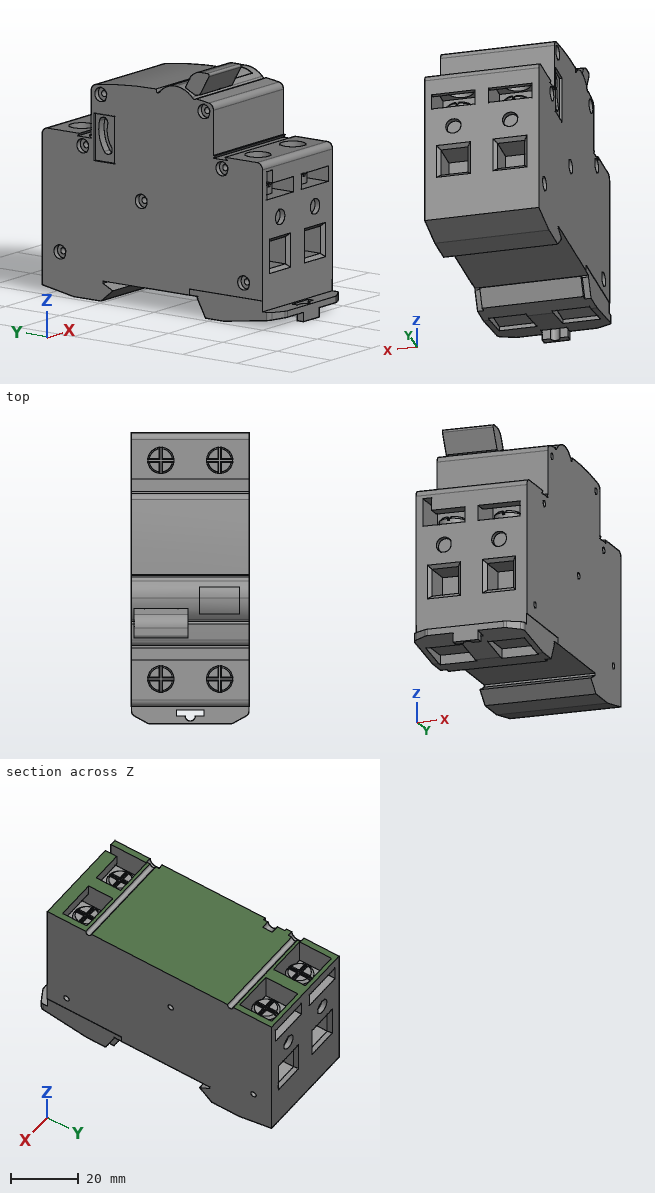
import cadquery as cq
import math


overall_length = 86.2
width = 35.0
body_depth = 81.1
mid_y = body_depth / 2
shoulder_z = 49.9
tower_half_depth = 22.5
tower_front_y = mid_y - tower_half_depth
tower_rear_y = mid_y + tower_half_depth
corner_radius = 2.0

crown_z = 67.2
crown_radius = 131

drum_y = 32.15
drum_top_z = 69.05
drum_front_radius = 9.0
drum_rear_radius = 7.8
drum_front_y = 25.9
drum_rear_y = 37.15
drum_front_notch = (25.2, 65.85)
drum_rear_notch = [(38.45, 66.1), (38.9, 66.1)]
drum_front_lip_y = 24.5
drum_rear_lip_y = 39.1

groove_width = 5.0
groove_depth = 0.9
groove_undercut = 0.7

rail_z = 6.2
rear_hook = [(58.7, rail_z), (58.7, 5.5), (55.1, 3.7), (59.5, 0), (69.5, 0), (body_depth, 2.1)]

clip_top_z = 8.1
clip_rear_y = 26.9
clip_side_gap = 0.1
clip_width = width - 2 * clip_side_gap
clip_nose = [(24.05, rail_z), (24.05, 5.6), (21.0, 0), (14.2, 0)]
tab_top_z = 4.8
tab_bottom_z = 2.85
tab_length = overall_length - body_depth
lip_width = 7.9
lip_thickness = 2.4
lip_rear_y = lip_thickness - tab_length
tab_side_length = 2.3
tab_tip_half_width = 12.4
tab_corner_radius = 1.7
tooth_profile = [(25.6, 5.35), (17.2, 5.35), (17.2, 0), (22.75, 0)]
pocket_width = 11.55
pocket_offset = 9.7
pocket_front_y = 3.2
pocket_rear_y = 15.5
pocket_height = 2.9

tool_slot_width = 8.0
tool_slot_rear_y = -1.0
tool_slot_front_y = -2.8
tool_slot_nose_radius = 1.5

rivet_points = [
    (mid_y - 19, 62.75),
    (mid_y + 19, 62.75),
    (mid_y - 25.6, 46.3),
    (mid_y + 25.6, 46.3),
    (44.65, 32.3),
    (7.0, 12.7),
    (74.6, 12.9),
]
rivet_radius = 0.95
rivet_recess_radius = 2.15
rivet_recess_depth = 1.7

window_y = 58.2
window_z = 49.6
window_size = (7.6, 14.4)
window_depth = 0.8
slot_path = [(59.05, 54.2), (59.1, 50.25), (57.5, 46.3)]
side_slot_radius = 1.55
side_slot_depth = 3.45

pole_offset = 8.7
screw_inset = 8.2
screw_hole_radius = 3.9
screw_radius = 4.2
screw_top_z = 42.1
screw_chamfer = 0.8
cross_steps = [(1.1, 0.6), (0.6, 1.4)]
view_width = 13.3
view_bottom_z = 38.45
view_top_z = 43.1
terminal_depth = 12.85
front_wall = 4.2
rear_wall = 1.5
chamber_top_z = 47.0
side_notch_width = 2.8
round_hole_radius = 2.3
round_hole_z = 32.1
round_hole_depth = 1.7
cable_size = 8.3
cable_mouth_size = 10.4
cable_z = 21.0
cable_mouth_depth = 1.1
cable_depth = 10.35

lever_width = 16.0
lever_x = -8.6
lever_neck_width = 10.0
lever_root = (29.05, 68.9)
lever_heel = (25.3, 67.0)
lever_toe = (23.7, 67.3)
lever_tip = (20.35, 73.35)
lever_tip_bend = (20.4, 74.0)
lever_top_z = 74.2
lever_flat_front_y = 20.95
lever_flat_rear_y = 23.3
lever_shoulder = (27.2, 72.2)
neck_drop = 1.3

button_x = 8.6
button_width = 11.9
button_front_y = 27.4
button_rear_y = 35.4
button_height = 0.1
button_base_z = 60.3


def box(size_x, y_range, z_range, x=0):
    """Box centred on x that fills the given Y and Z ranges."""
    length = y_range[1] - y_range[0]
    height = z_range[1] - z_range[0]
    corner = (x - size_x / 2, y_range[0], z_range[0])
    return cq.Workplane("XY").box(size_x, length, height, centered=False).translate(corner)


def across(profile, size_x, x=0):
    """Extrude a closed Y-Z profile across X, centred on x."""
    return profile.extrude(size_x).translate((x - size_x / 2, 0, 0))


def side_polygon(points):
    return cq.Workplane("YZ").polyline(points).close()


def crown_point(y):
    drop = crown_radius - math.sqrt(crown_radius**2 - (y - mid_y) ** 2)
    return (y, crown_z - drop)


def drum_point(y, lift=0):
    """Point on the drum, or on a surface raised above it by lift."""
    radius = drum_front_radius if y < drum_y else drum_rear_radius
    rise = math.sqrt((radius + lift) ** 2 - (y - drum_y) ** 2)
    return (y, drum_top_z - radius + rise)


def drum_arcs(profile, front_y, rear_y, lift=0):
    """Continue a profile over the drum from front_y to rear_y."""
    profile = profile.lineTo(*drum_point(front_y, lift))
    for start_y, end_y in ((front_y, drum_y), (drum_y, rear_y)):
        middle = drum_point((start_y + end_y) / 2, lift)
        profile = profile.threePointArc(middle, drum_point(end_y, lift))
    return profile


def make_housing():
    profile = (
        cq.Workplane("YZ")
        .moveTo(0, clip_top_z)
        .lineTo(0, shoulder_z)
        .lineTo(tower_front_y, shoulder_z)
        .lineTo(*crown_point(tower_front_y))
        .threePointArc(
            crown_point((tower_front_y + drum_front_lip_y) / 2),
            crown_point(drum_front_lip_y),
        )
        .lineTo(*drum_front_notch)
    )
    profile = drum_arcs(profile, drum_front_y, drum_rear_y)
    profile = (
        profile.lineTo(*drum_rear_notch[0])
        .lineTo(*drum_rear_notch[1])
        .lineTo(*crown_point(drum_rear_lip_y))
        .threePointArc(
            crown_point((drum_rear_lip_y + tower_rear_y) / 2),
            crown_point(tower_rear_y),
        )
        .lineTo(tower_rear_y, shoulder_z)
        .lineTo(body_depth, shoulder_z)
        .lineTo(*rear_hook[-1])
    )
    for point in reversed(rear_hook[:-1]):
        profile = profile.lineTo(*point)
    profile = profile.lineTo(clip_rear_y, rail_z).lineTo(clip_rear_y, clip_top_z).close()
    housing = across(profile, width)

    top_corners = [
        (0, shoulder_z),
        (body_depth, shoulder_z),
        crown_point(tower_front_y),
        crown_point(tower_rear_y),
    ]
    for y, z in top_corners:
        edge = cq.selectors.NearestToPointSelector((0, y, z))
        housing = housing.edges(edge).fillet(corner_radius)
    return housing


def groove_cut(wall_y, outward):
    """Groove at the foot of a tower wall, undercut below the shoulder."""
    outer_y = wall_y + outward * groove_width
    floor_z = shoulder_z - groove_depth
    return across(
        side_polygon(
            [
                (wall_y, shoulder_z),
                (wall_y, floor_z),
                (outer_y, floor_z),
                (outer_y - outward * groove_undercut, shoulder_z),
            ]
        ),
        width,
    )


def groove_lip(wall_y, outward):
    """Small triangular lip on the tower wall above the groove."""
    return across(
        side_polygon(
            [
                (wall_y, shoulder_z),
                (wall_y + outward * groove_undercut, shoulder_z),
                (wall_y, shoulder_z - groove_depth),
            ]
        ),
        width,
    )


def make_clip():
    front_profile = [
        (-tab_length, tab_bottom_z),
        (-tab_length, tab_top_z),
        (0, tab_top_z),
        (0, clip_top_z),
    ]
    rear_profile = [(clip_rear_y, clip_top_z), (clip_rear_y, rail_z)]
    clip = across(side_polygon(rear_profile + clip_nose + front_profile), clip_width)

    half = clip_width / 2
    outline = [
        (-half, clip_rear_y),
        (-half, -tab_side_length),
        (-tab_tip_half_width, -tab_length),
        (tab_tip_half_width, -tab_length),
        (half, -tab_side_length),
        (half, clip_rear_y),
    ]
    plan = cq.Workplane("XY").polyline(outline).close().extrude(clip_top_z)
    plan = plan.edges("|Z and (not >Y)").fillet(tab_corner_radius)
    clip = clip.intersect(plan)

    for side in (-1, 1):
        pocket = box(
            pocket_width, (pocket_front_y, pocket_rear_y), (0, pocket_height), side * pocket_offset
        )
        clip = clip.cut(pocket)

    tooth = across(side_polygon(tooth_profile), 2 * pocket_offset + pocket_width)
    lip = box(lip_width, (-tab_length, lip_rear_y), (0, tab_top_z))
    tool_slot = box(tool_slot_width, (tool_slot_front_y, tool_slot_rear_y), (0, tab_top_z))
    slot_nose = (
        cq.Workplane("XY")
        .center(0, tool_slot_front_y)
        .circle(tool_slot_nose_radius)
        .extrude(tab_top_z)
    )
    return clip.union(tooth).union(lip).cut(tool_slot).cut(slot_nose)


def rivet_cuts():
    side = cq.Workplane("YZ", origin=(-width / 2, 0, 0)).pushPoints(rivet_points)
    holes = side.circle(rivet_radius).extrude(width)
    recess = side.circle(rivet_recess_radius).extrude(rivet_recess_depth)
    return holes.union(recess)


def window_cut():
    side = cq.Workplane("YZ", origin=(-width / 2, 0, 0))
    window = side.center(window_y, window_z).rect(*window_size).extrude(window_depth)
    path = side.moveTo(*slot_path[0]).threePointArc(*slot_path[1:])
    slot = path.offset2D(side_slot_radius).extrude(side_slot_depth)
    return window.union(slot)


def terminal_cut(x, wall):
    """Openings of one front terminal, its screw chamber lying behind the end wall."""
    view = box(view_width, (0, terminal_depth), (view_bottom_z, view_top_z), x)
    chamber_y = (wall, terminal_depth)
    chamber = box(view_width, chamber_y, (view_bottom_z, chamber_top_z), x)
    driver_hole = (
        cq.Workplane("XY", origin=(x, screw_inset, view_bottom_z))
        .circle(screw_hole_radius)
        .extrude(shoulder_z - view_bottom_z)
    )
    front = cq.Workplane("XZ")
    round_hole = front.center(x, round_hole_z).circle(round_hole_radius).extrude(-round_hole_depth)
    mouth = (
        front.center(x, cable_z)
        .rect(cable_mouth_size, cable_mouth_size)
        .workplane(offset=-cable_mouth_depth)
        .rect(cable_size, cable_size)
        .loft()
    )
    cable = front.center(x, cable_z).rect(cable_size, cable_size).extrude(-cable_depth)
    return view.union(chamber).union(driver_hole).union(round_hole).union(mouth).union(cable)


def screw(x):
    """Chamfered, cross-slotted screw head of one front terminal."""
    head = (
        cq.Workplane("XY", origin=(x, screw_inset, view_bottom_z))
        .circle(screw_radius)
        .extrude(screw_top_z - view_bottom_z)
        .faces(">Z")
        .chamfer(screw_chamfer)
    )
    head_y = (screw_inset - screw_radius, screw_inset + screw_radius)
    for slot_width, slot_depth in cross_steps:
        slot_y = (screw_inset - slot_width / 2, screw_inset + slot_width / 2)
        slot_z = (screw_top_z - slot_depth, screw_top_z)
        head = head.cut(box(2 * screw_radius, slot_y, slot_z, x))
        head = head.cut(box(slot_width, head_y, slot_z, x))
    return head


def to_rear(shape):
    """Mirror a front-end shape to the rear end."""
    return shape.mirror("XZ", (0, mid_y, 0))


def side_notch_cut():
    """Upright notch at the outer side of the left front screw window."""
    x = -pole_offset - (view_width - side_notch_width) / 2
    return box(side_notch_width, (0, terminal_depth), (view_bottom_z, chamber_top_z), x)


def make_lever():
    profile = (
        cq.Workplane("YZ")
        .moveTo(*lever_heel)
        .lineTo(*lever_toe)
        .lineTo(*lever_tip)
        .threePointArc(lever_tip_bend, (lever_flat_front_y, lever_top_z))
        .lineTo(lever_flat_rear_y, lever_top_z)
        .tangentArcPoint(lever_shoulder, relative=False)
        .lineTo(*lever_root)
        .close()
    )
    handle = across(profile, lever_width, lever_x)
    neck_profile = [
        lever_root,
        lever_heel,
        (lever_heel[0] + neck_drop, lever_heel[1] - neck_drop),
        (lever_root[0], lever_root[1] - neck_drop),
    ]
    return handle.union(across(side_polygon(neck_profile), lever_neck_width, lever_x))


def make_button():
    """Test button standing slightly proud of the drum."""
    profile = cq.Workplane("YZ").moveTo(button_front_y, button_base_z)
    profile = drum_arcs(profile, button_front_y, button_rear_y, button_height)
    profile = profile.lineTo(button_rear_y, button_base_z).close()
    return across(profile, button_width, button_x)


result = make_housing()
for wall_y, direction in ((tower_front_y, -1), (tower_rear_y, 1)):
    result = result.cut(groove_cut(wall_y, direction))
    result = result.union(groove_lip(wall_y, direction))

result = result.union(make_clip())
result = result.cut(side_notch_cut())
for pole_x in (-pole_offset, pole_offset):
    result = result.cut(terminal_cut(pole_x, front_wall))
    result = result.cut(to_rear(terminal_cut(pole_x, rear_wall)))
    screw_head = screw(pole_x)
    result = result.union(screw_head).union(to_rear(screw_head))

result = result.cut(rivet_cuts()).cut(window_cut())
result = result.union(make_lever()).union(make_button())